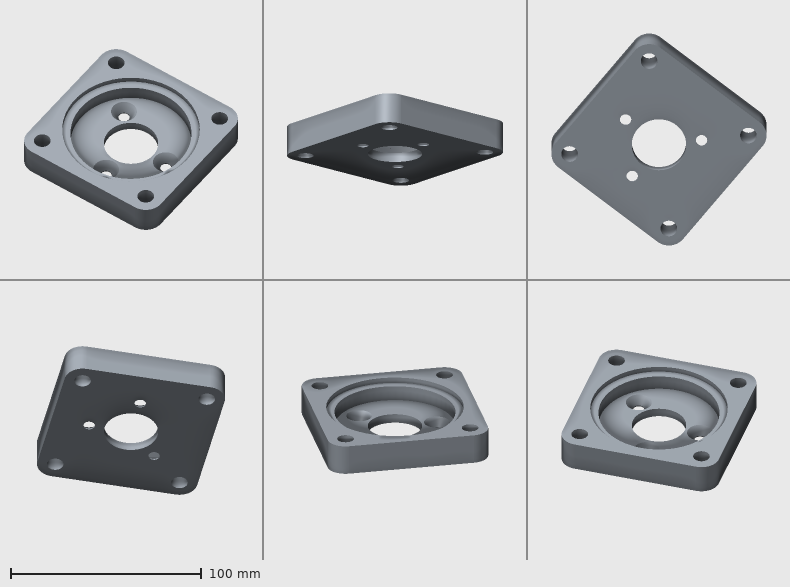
import cadquery as cq
import math

side = 85.7
thickness = 15.9
corner_radius = 9.5

mount_hole_diameter = 8.75
mount_hole_spacing = side - 2 * corner_radius

ledge_diameter = 72.2
ledge_depth = 3.0
recess_diameter = 63.5
recess_depth = 11.0
bore_diameter = 28.55

screw_hole_diameter = 6.0
countersink_diameter = 13.55
countersink_angle = 82.0
screw_circle_radius = 22.5
screw_angles = (0, 135, 270)


def make_plate():
    """Rounded square plate standing on Z = 0."""
    plate = cq.Workplane("XY").rect(side, side).extrude(thickness)
    return plate.edges("|Z").fillet(corner_radius)


def cut_mount_holes(body):
    """Through holes at the four corners."""
    return (
        body.faces(">Z")
        .workplane()
        .rect(mount_hole_spacing, mount_hole_spacing, forConstruction=True)
        .vertices()
        .hole(mount_hole_diameter)
    )


def cut_round(body, diameter, depth):
    """Central round cut, going down from the top face."""
    cutter = (
        cq.Workplane("XY", origin=(0, 0, thickness - depth))
        .circle(diameter / 2)
        .extrude(depth)
    )
    return body.cut(cutter)


def cut_screw_holes(body):
    """Countersunk through holes, sunk from the recess floor."""
    screw_points = [
        (
            screw_circle_radius * math.cos(math.radians(angle)),
            screw_circle_radius * math.sin(math.radians(angle)),
        )
        for angle in screw_angles
    ]
    floor = cq.Workplane("XY", origin=(0, 0, thickness - recess_depth))
    return (
        body.copyWorkplane(floor)
        .pushPoints(screw_points)
        .cskHole(screw_hole_diameter, countersink_diameter, countersink_angle)
    )


result = make_plate()
result = cut_mount_holes(result)
result = cut_round(result, ledge_diameter, ledge_depth)
result = cut_round(result, recess_diameter, recess_depth)
result = cut_round(result, bore_diameter, thickness)
result = cut_screw_holes(result)